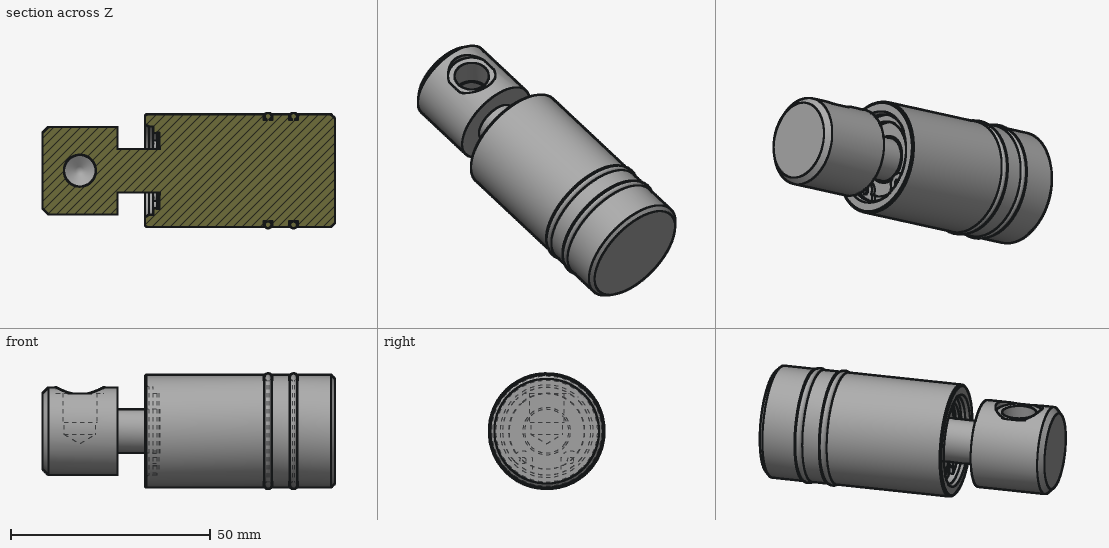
import cadquery as cq
import math

total_length = 73.45
front_x = -total_length / 2
back_x = total_length / 2

head_diameter = 22.0
head_length = 18.9
head_chamfer = 1.5
stem_diameter = 11.0

body_diameter = 28.35
body_length = 47.7
body_front_chamfer = 0.4
body_back_chamfer = 1.0
body_x = back_x - body_length

groove_diameter = 25.5
groove_width = 2.05
seal_outer_diameter = 29.1
seal_embed = 0.04
seal_section = (seal_outer_diameter - groove_diameter) / 2 + seal_embed
seal_offsets = (16.8, 10.4)

recess_diameter = 22.1
mouth_diameter = 23.3
mouth_taper_angle = 30.0
shoulder_depth = 3.0
inner_bore_diameter = 19.0
inner_bore_depth = 3.6
stem_clearance_diameter = 11.9
stem_clearance_depth = 3.75

ring_inner_diameter = 18.8
ring_thickness = 0.95
lug_diameter = 4.85
lug_hole_diameter = 1.6
lug_center_radius = 9.5
lug_angle = 39.0

port_x = front_x + 9.4
spotface_diameter = 11.9
spotface_depth = 1.55
thread_diameter = 8.6
thread_depth = 7.35
drill_diameter = 7.9
drill_depth = 10.3
drill_tip_angle = 118.0


def rod(start_x, length, diameter):
    """Cylinder on the X axis."""
    return cq.Workplane("YZ", origin=(start_x, 0, 0)).circle(diameter / 2).extrude(length)


def make_head():
    head = rod(front_x, head_length, head_diameter).faces("<X").chamfer(head_chamfer)
    stem_x = front_x + head_length
    stem = rod(stem_x, body_x + stem_clearance_depth - stem_x, stem_diameter)
    return head.union(stem)


def make_port():
    """Spotface, threaded bore and a slightly smaller drilled end with a conical tip."""
    drill_radius = drill_diameter / 2
    thread_radius = thread_diameter / 2
    spotface_radius = spotface_diameter / 2
    spotface_z = head_diameter / 2 - spotface_depth
    thread_end_z = spotface_z - thread_depth
    drill_end_z = spotface_z - drill_depth
    tip_z = drill_end_z - drill_radius / math.tan(math.radians(drill_tip_angle / 2))
    top_z = head_diameter / 2 + spotface_depth
    return (
        cq.Workplane("XZ", origin=(port_x, 0, 0))
        .moveTo(0, tip_z)
        .lineTo(drill_radius, drill_end_z)
        .lineTo(drill_radius, thread_end_z)
        .lineTo(thread_radius, thread_end_z)
        .lineTo(thread_radius, spotface_z)
        .lineTo(spotface_radius, spotface_z)
        .lineTo(spotface_radius, top_z)
        .lineTo(0, top_z)
        .close()
        .revolve(360, (0, 0), (0, 1))
    )


def make_recess():
    """Tapered mouth, ring seat, inner bore and the clearance around the stem."""
    mouth_radius = mouth_diameter / 2
    recess_radius = recess_diameter / 2
    mouth_depth = (mouth_radius - recess_radius) / math.tan(math.radians(mouth_taper_angle))
    mouth = cq.Solid.makeCone(
        mouth_radius, recess_radius, mouth_depth, cq.Vector(body_x, 0, 0), cq.Vector(1, 0, 0)
    )
    recess = rod(body_x, shoulder_depth, recess_diameter).union(cq.Workplane(mouth))
    recess = recess.union(rod(body_x, inner_bore_depth, inner_bore_diameter))
    return recess.union(rod(body_x, stem_clearance_depth, stem_clearance_diameter))


def make_body():
    body = rod(body_x, body_length, body_diameter)
    body = body.faces("<X").chamfer(body_front_chamfer)
    body = body.faces(">X").chamfer(body_back_chamfer)
    return body.cut(make_recess())


def make_retaining_ring():
    """Flat ring with a parallel-sided gap at the bottom and a rounded, drilled lug at each end."""
    ring_x = body_x + shoulder_depth - ring_thickness
    lug_y = lug_center_radius * math.sin(math.radians(lug_angle))
    lug_z = -lug_center_radius * math.cos(math.radians(lug_angle))
    gap_width = 2 * lug_y - lug_diameter

    outline = rod(ring_x, ring_thickness, recess_diameter)
    gap = cq.Workplane("XY").box(ring_thickness, gap_width, recess_diameter, centered=(False, True, False))
    gap = gap.translate((ring_x, 0, -recess_diameter))
    lug_plane = cq.Workplane("YZ", origin=(ring_x, 0, 0)).pushPoints([(-lug_y, lug_z), (lug_y, lug_z)])
    lug_heads = lug_plane.circle(lug_diameter / 2).extrude(ring_thickness).intersect(outline)
    lug_holes = lug_plane.circle(lug_hole_diameter / 2).extrude(ring_thickness)

    band = outline.cut(rod(ring_x, ring_thickness, ring_inner_diameter)).cut(gap)
    return band.union(lug_heads).cut(lug_holes)


def make_groove(center_x):
    start_x = center_x - groove_width / 2
    return rod(start_x, groove_width, seal_outer_diameter).cut(rod(start_x, groove_width, groove_diameter))


def make_seal(center_x):
    """O-ring whose round section is cut flat where it meets the groove floor."""
    section_radius = seal_section / 2
    floor_radius = groove_diameter / 2
    top_radius = seal_outer_diameter / 2
    half_contact = math.sqrt(section_radius**2 - (section_radius - seal_embed) ** 2)
    return (
        cq.Workplane("XY")
        .moveTo(center_x - half_contact, floor_radius)
        .threePointArc((center_x, top_radius), (center_x + half_contact, floor_radius))
        .close()
        .revolve(360, (0, 0), (1, 0))
    )


result = make_head().cut(make_port()).union(make_body()).union(make_retaining_ring())
for seal_offset in seal_offsets:
    seal_x = back_x - seal_offset
    result = result.cut(make_groove(seal_x)).union(make_seal(seal_x))